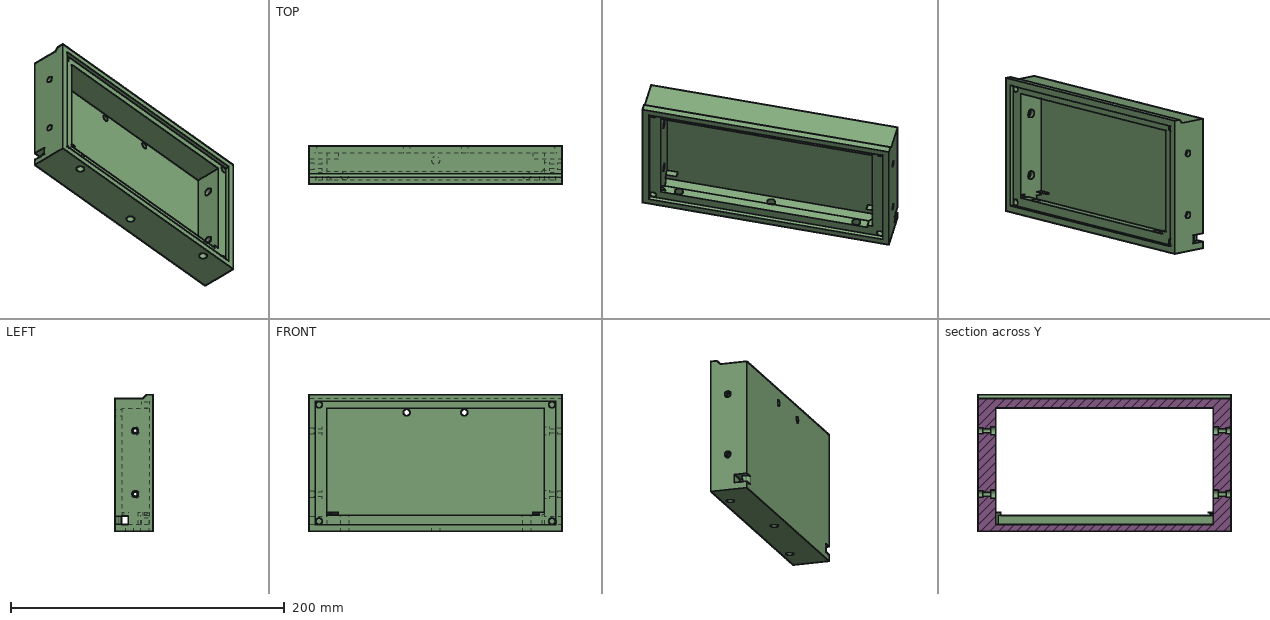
import cadquery as cq

length = 185.0
depth = 28.0
height = 100.0

lip_drop = 2.8
lip_depth = 4.8

rim = 4.8
recess_depth = 3.0
side_wall = 13.1
top_wall = 10.0
back_wall = 5.0
pocket_back = depth - back_wall
pocket_top = height - top_wall

ledge_height = 11.7
ledge_back = 9.5
floor_height = 5.0

slot_front = 18.3
slot_top = 11.1
slot_back_end = 4.3
slot_back_taper = 1.0
slot_back_radius = 2.5

corner_top = 13.9
block_width = 3.7
block_side = 4.6
tab_width = 8.1
tab_back_height = 12.5

bore = 4.6
screw = 3.1
wide_bore = 6.0
seat_depth = 3.7
side_hole_y = 13.1
side_hole_height = 50.3
side_hole_spacing = 46.3
corner_hole_inset = 7.4
corner_hole_depth = 5.5
rear_hole_spacing = 42.2
rear_hole_height = 86.8
floor_hole_y = 17.4
ledge_hole_spacing = 133.0
ledge_hole_y = 6.3


def block(x_range, y_range, z_range):
    """Axis-aligned box given by its limits."""
    size = [high - low for low, high in (x_range, y_range, z_range)]
    corner = (x_range[0], y_range[0], z_range[0])
    return cq.Workplane("XY").box(*size, centered=False).translate(corner)


def drill(diameter, start, direction, reach):
    """Cylinder that starts at a point and runs along a direction."""
    return cq.Workplane(
        cq.Solid.makeCylinder(diameter / 2, reach, cq.Vector(*start), cq.Vector(*direction))
    )


def at_right(shape):
    """Copy of a left-hand feature, mirrored to the other end of the part."""
    return shape.mirror("YZ", (length / 2, 0, 0))


def make_shell():
    main_top = height - lip_drop
    profile = [
        (0, 0),
        (depth, 0),
        (depth, main_top),
        (lip_depth + lip_drop, main_top),
        (lip_depth, height),
        (0, height),
    ]
    shell = cq.Workplane("YZ").polyline(profile).close().extrude(length)
    recess = block((rim, length - rim), (0, recess_depth), (rim, height - rim))
    pocket_x = (side_wall, length - side_wall)
    pocket = block(pocket_x, (recess_depth, pocket_back), (ledge_height, pocket_top))
    lower_floor = block(pocket_x, (ledge_back, pocket_back), (floor_height, pocket_top))
    return shell.cut(recess).cut(pocket).cut(lower_floor)


def cable_slot():
    """Slot through the left wall; the back wall beside it tapers and rounds off."""
    round_start = slot_back_end + slot_back_taper
    return (
        cq.Workplane("XY")
        .workplane(offset=floor_height)
        .moveTo(0, slot_front)
        .lineTo(side_wall, slot_front)
        .lineTo(side_wall, pocket_back)
        .lineTo(slot_back_end, pocket_back)
        .lineTo(round_start, depth - slot_back_radius)
        .radiusArc((round_start + slot_back_radius, depth), slot_back_radius)
        .lineTo(0, depth)
        .close()
        .extrude(slot_top - floor_height)
    )


def back_tab():
    """Wedge on the back wall with a flat top and a sharp front edge."""
    profile = [
        (slot_front, corner_top),
        (pocket_back, corner_top),
        (pocket_back, tab_back_height),
    ]
    tab = cq.Workplane("YZ").polyline(profile).close().extrude(tab_width)
    return tab.translate((side_wall, 0, 0))


def left_corner_wedge():
    """Triangular overhang whose underside slopes back down to the ledge."""
    plan = [
        (side_wall, recess_depth),
        (side_wall + block_width, recess_depth),
        (side_wall, recess_depth + block_width),
    ]
    prism = (
        cq.Workplane("XY")
        .workplane(offset=ledge_height)
        .polyline(plan)
        .close()
        .extrude(corner_top - ledge_height)
    )
    under_profile = [
        (recess_depth, corner_top),
        (recess_depth, ledge_height),
        (recess_depth + block_width, ledge_height),
    ]
    under = cq.Workplane("YZ").polyline(under_profile).close().extrude(length)
    return prism.cut(under)


def right_corner_block():
    """Block flush with the recess floor, its back face at 45 degrees."""
    wall = length - side_wall
    plan = [
        (wall, recess_depth),
        (wall - block_width, recess_depth),
        (wall - block_width, recess_depth + block_side),
        (wall, recess_depth + block_side + block_width),
    ]
    return (
        cq.Workplane("XY")
        .workplane(offset=floor_height)
        .polyline(plan)
        .close()
        .extrude(corner_top - floor_height)
    )


def left_holes():
    """All holes that have a mirrored twin at the other end."""
    holes = []
    for side in (-1, 1):
        z = side_hole_height + side * side_hole_spacing / 2
        outside = (0, side_hole_y, z)
        inner_seat = (side_wall - seat_depth, side_hole_y, z)
        holes.append(drill(screw, outside, (1, 0, 0), side_wall))
        holes.append(drill(bore, outside, (1, 0, 0), seat_depth))
        holes.append(drill(wide_bore, inner_seat, (1, 0, 0), seat_depth))
    for z in (corner_hole_inset, height - corner_hole_inset):
        start = (corner_hole_inset, recess_depth, z)
        holes.append(drill(bore, start, (0, 1, 0), corner_hole_depth))
    rear_x = (length - rear_hole_spacing) / 2
    holes.append(drill(bore, (rear_x, pocket_back, rear_hole_height), (0, 1, 0), back_wall))
    ledge_x = (length - ledge_hole_spacing) / 2
    holes.append(drill(wide_bore, (ledge_x, ledge_hole_y, 0), (0, 0, 1), ledge_height))
    return holes


result = make_shell()
for addition in (back_tab(), at_right(back_tab()), left_corner_wedge(), right_corner_block()):
    result = result.union(addition)
for cutter in [cable_slot()] + left_holes():
    result = result.cut(cutter).cut(at_right(cutter))
result = result.cut(drill(wide_bore, (length / 2, floor_hole_y, 0), (0, 0, 1), floor_height))